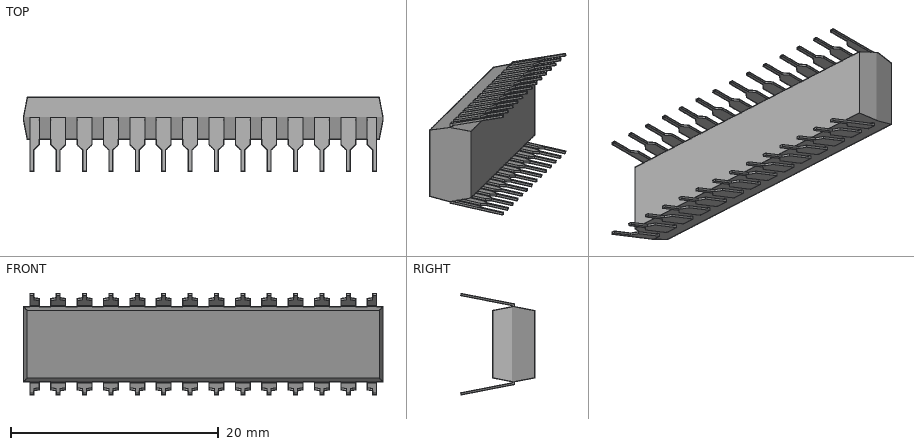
import cadquery as cq
import math

body_length = 34.65
body_height = 7.25
band_thickness = 0.25
back_depth = 1.95
front_depth = 1.87
draft_angle = 11.0

leads_per_row = 14
row_span = 33.02
lead_pitch = row_span / (leads_per_row - 1)
lead_thickness = 0.2
wide_width = 1.45
narrow_width = 0.38
overall_depth = 7.15
overall_height = 9.77
shoulder_start = 2.65
shoulder_length = 0.52
spread_angle = 11.0
root_depth = 0.35

band_back = band_thickness / 2
spread = math.radians(spread_angle)
lead_run = overall_depth - back_depth - lead_thickness * math.sin(spread)
tip_y = band_back - lead_run
lead_top_z = overall_height / 2 - lead_run * math.tan(spread)
blade_height = lead_thickness / math.cos(spread)
body_top_z = body_height / 2


def drafted_half(face_y, depth):
    """Half of the body growing from the band face at face_y; a negative depth grows toward +Y."""
    face = cq.Workplane("XZ", origin=(0, face_y, 0)).rect(body_length, body_height)
    return face.extrude(depth, taper=draft_angle)


def make_body():
    """Straight-sided band with a drafted half on each side."""
    band = cq.Workplane("XZ").rect(body_length, body_height).extrude(band_back, both=True)
    front = drafted_half(-band_back, front_depth)
    back = drafted_half(band_back, -back_depth)
    return band.union(front).union(back)


def lead_side_profile():
    """Lead seen along X: a root inside the body, then a sloping blade with a square-cut tip."""
    tip_top = (tip_y, overall_height / 2)
    tip_bottom = (
        tip_y - lead_thickness * math.sin(spread),
        overall_height / 2 - lead_thickness * math.cos(spread),
    )
    root_z = body_top_z - root_depth
    inner_z = lead_top_z - blade_height + band_thickness * math.tan(spread)
    return [
        (band_back, root_z),
        (band_back, lead_top_z),
        tip_top,
        tip_bottom,
        (-band_back, inner_z),
        (-band_back, root_z),
    ]


def lead_outline(left_wide, right_wide):
    """Lead seen along Z: wide at the body, necking down to a narrow pin.

    A side that is not wide stays straight at the narrow width.
    """
    shoulder_y = band_back - shoulder_start
    neck_y = shoulder_y - shoulder_length
    end_y = tip_y - lead_thickness
    narrow = narrow_width / 2
    left = wide_width / 2 if left_wide else narrow
    right = wide_width / 2 if right_wide else narrow
    return [
        (-left, band_back),
        (-left, shoulder_y),
        (-narrow, neck_y),
        (-narrow, end_y),
        (narrow, end_y),
        (narrow, neck_y),
        (right, shoulder_y),
        (right, band_back),
    ]


def make_lead(left_wide, right_wide):
    """One lead of the upper row, centred on X = 0."""
    side = cq.Workplane("YZ").polyline(lead_side_profile()).close().extrude(wide_width, both=True)
    plan = cq.Workplane("XY").polyline(lead_outline(left_wide, right_wide)).close().extrude(overall_height)
    return side.intersect(plan)


result = make_body()
for index in range(leads_per_row):
    is_first = index == 0
    is_last = index == leads_per_row - 1
    x = index * lead_pitch - row_span / 2
    lead = make_lead(not is_first, not is_last).translate((x, 0, 0))
    result = result.union(lead).union(lead.mirror("XY"))